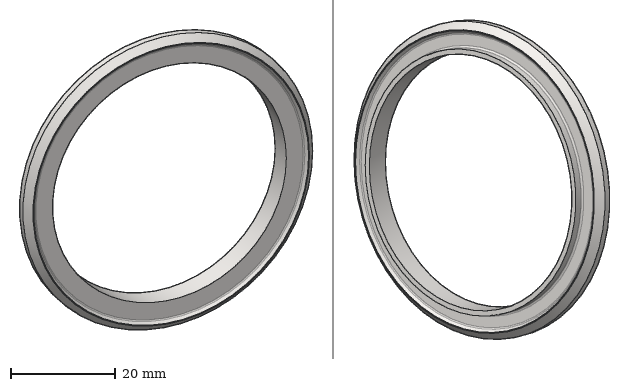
import cadquery as cq

outer_radius = 31.0
bore_radius = 50.0 / 2
lip_radius = 52.0 / 2
chamfer_depth = 1.4
rim_face_radius = outer_radius - chamfer_depth

total_width = 5.7
band_width = 1.5
rim_width = 3 * band_width
lip_height = total_width - rim_width

recess_depth = 0.75
recess_fillet = 0.4
recess_mouth_radius = 29.4
recess_floor_radius = 28.75

lip_face = -total_width / 2
rim_face = lip_face + lip_height
recess_floor = rim_face + recess_depth
flat_start = rim_face + band_width
flat_end = flat_start + band_width
back_face = total_width / 2
back_floor = back_face - recess_depth

section = [
    (lip_face, bore_radius),
    (lip_face, lip_radius),
    (recess_floor, lip_radius),
    (recess_floor, recess_floor_radius),
    (rim_face, recess_mouth_radius),
    (rim_face, rim_face_radius),
    (flat_start, outer_radius),
    (flat_end, outer_radius),
    (back_face, rim_face_radius),
    (back_face, recess_mouth_radius),
    (back_floor, recess_floor_radius),
    (back_floor, bore_radius),
]

ring = cq.Workplane("XY").polyline(section).close().revolve(360, (0, 0, 0), (1, 0, 0))


def circular_edge(station, radius):
    """Select the circular edge of the given radius at a station along X."""
    tolerance = 0.005
    lower = (station - tolerance, -radius - tolerance, -radius - tolerance)
    upper = (station + tolerance, radius + tolerance, radius + tolerance)
    inner = radius - tolerance
    enclosed = cq.selectors.BoxSelector(lower, upper, boundingbox=True)
    smaller = cq.selectors.BoxSelector(
        (lower[0], -inner, -inner), (upper[0], inner, inner), boundingbox=True
    )
    return enclosed - smaller


for station, radius in [
    (recess_floor, lip_radius),
    (recess_floor, recess_floor_radius),
    (back_floor, recess_floor_radius),
]:
    ring = ring.edges(circular_edge(station, radius)).fillet(recess_fillet)

result = ring